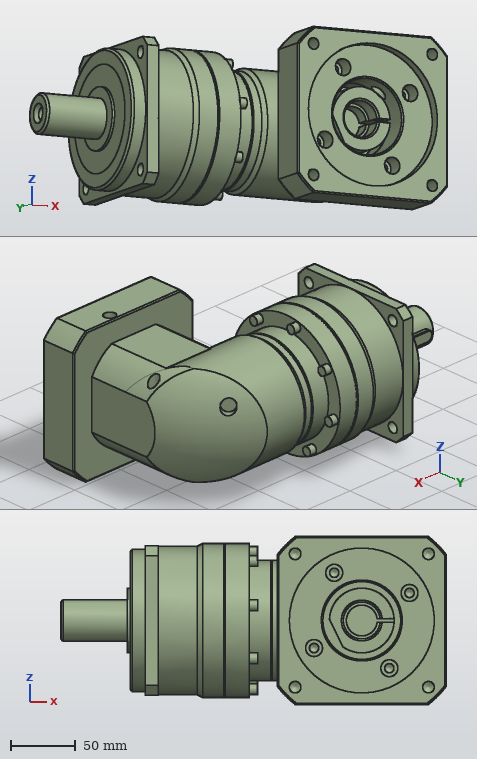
import cadquery as cq
import math


LENGTH = 297.0
COLLAR_X = 51.5
PILOT_X = 53.5
FLANGE_X = 65.0
FLANGE_THICKNESS = 10.0
TAPER_X = 105.2
RING_STEP_X = 109.3
RING_X = 125.7
RING_END_X = 145.3
ELBOW_X = 163.0
ELBOW_TAPER_X = 170.0
ELBOW_FULL_X = 173.8

SHAFT_R = 16.0
SHAFT_CHAMFER = 1.8
COLLAR_R = 25.0
SHAFT_END_X = 74.3
CENTRE_HOLE_R = 4.8
CENTRE_SINK_R = 7.7
CENTRE_HOLE_DEPTH = 26.7
KEY_X = 5.3
KEY_LENGTH = 40.0
KEY_WIDTH = 10.0
KEY_HEIGHT = 8.0
KEY_TOP_Y = 19.0
KEY_CHAMFER = 0.5

SEAL_R = 42.5
PILOT_R = 55.0
PILOT_CHAMFER = 1.8
FLANGE_HALF = 57.5
FLANGE_CHAMFER = 7.7
FLANGE_HOLE_R = 4.8
FLANGE_HOLE_OFFSET = 46.0
HOUSING_R = 57.3
RING_R = 59.5
NECK_R = 46.5
GROOVE_WIDTH = 1.2
GROOVE_DEPTH = 1.0
SCREW_COUNT = 8
SCREW_R = 4.2
SCREW_HEIGHT = 6.5
SCREW_CIRCLE_R = 54.5
SCREW_START_ANGLE = 12.5

PLATE_SIDE = 130.0
PLATE_THICKNESS = 34.0
PLATE_CORNER_R = 82.5
PLATE_EDGE_CHAMFER = 1.2
INPUT_X = LENGTH - PLATE_SIDE / 2
PLATE_FRONT_Y = RING_R - 172.5
PLATE_BACK_Y = PLATE_FRONT_Y + PLATE_THICKNESS
MOTOR_PILOT_R = 56.0
MOTOR_PILOT_DEPTH = 9.0
PILOT_FLOOR_Y = PLATE_FRONT_Y + MOTOR_PILOT_DEPTH
BORE_R = 30.0
BORE_CHAMFER = 1.2
CORNER_HOLE_R = 4.5
CORNER_HOLE_OFFSET = 51.5
CORNER_HOLE_DEPTH = 17.8
MOUNT_CIRCLE_R = 42.5
MOUNT_SINK_R = 6.5
MOUNT_SINK_DEPTH = 15.0
MOUNT_HOLE_R = 3.5
MOUNT_HOLE_DEPTH = 32.7
MOUNT_START_ANGLE = 30.0
ACCESS_HOLE_R = 5.3

HUB_R = 25.0
HUB_FACE_DEPTH = 10.7
HUB_LENGTH = 32.7
HUB_FACE_Y = PILOT_FLOOR_Y + HUB_FACE_DEPTH
HUB_END_Y = HUB_FACE_Y + HUB_LENGTH
HUB_MOUTH_R = 15.7
HUB_BORE_R = 14.3
HUB_BORE_STEP_R = 12.0
HUB_STEP_DEPTH = 15.0
HUB_BORE_DEPTH = 26.7
HUB_SLIT_WIDTH = 3.0
HUB_FLAT_ANGLE = 206.0
HUB_FLAT_DISTANCE = 22.0
CLAMP_X = INPUT_X + 18.5
CLAMP_Y = -86.8
CLAMP_SCREW_R = 3.5

ELBOW_R = 49.0
LEG_R = 51.0
LEG_HALF = 45.2
LEG_SHOULDER_Y = -19.5
DOME_APEX = 30.5
DOME_SPINE_R = 133.7
DOME_PROFILE_R = 72.8
SIDE_HOLE_R = 4.8
SIDE_HOLE_X = INPUT_X + 34.8
SIDE_HOLE_Y = -22.0
SIDE_HOLE_FLOOR_Z = 26.7
DOME_HOLE_R = 6.5
DOME_HOLE_FLOOR = 20.8
DOME_HOLE_SIDE = 17.5
DOME_HOLE_Z = 23.2

DRILL_TIP_RATIO = 0.6


def x_cylinder(x_start, x_end, radius):
    """Cylinder on the output axis."""
    return cq.Workplane("YZ").workplane(offset=x_start).circle(radius).extrude(x_end - x_start)


def x_revolve(profile):
    """Solid of revolution about the output axis from (x, radius) points."""
    points = [(profile[0][0], 0)] + profile + [(profile[-1][0], 0)]
    return cq.Workplane("XY").polyline(points).close().revolve(360, (0, 0, 0), (1, 0, 0))


def input_plane(y):
    """Plane square to the input axis, drawn in X and Z from that axis, extruding toward +Y."""
    return cq.Workplane(cq.Plane((INPUT_X, y, 0), xDir=(-1, 0, 0), normal=(0, 1, 0)))


def y_cylinder(y_start, y_end, radius, dx=0.0, dz=0.0):
    """Cylinder parallel to the input axis, placed dx and dz from it."""
    return input_plane(y_start).center(-dx, dz).circle(radius).extrude(y_end - y_start)


def y_drill(y_start, depth, radius, dx, dz):
    """Drilled hole with a conical tip, going toward +Y."""
    tip = depth + DRILL_TIP_RATIO * radius
    profile = [(0, 0), (radius, 0), (radius, depth), (0, tip)]
    drill = cq.Workplane("XY").polyline(profile).close().revolve(360, (0, 0, 0), (0, 1, 0))
    return drill.translate((INPUT_X + dx, y_start, dz))


def y_cone(y_start, start_radius, end_radius):
    """45 degree cone on the input axis, for chamfering a bore mouth that faces -Y."""
    depth = start_radius - end_radius
    cone = cq.Solid.makeCone(start_radius, end_radius, depth, (INPUT_X, y_start, 0), (0, 1, 0))
    return cq.Workplane(cone)


def make_key():
    blank = (
        cq.Workplane("XZ", origin=(KEY_X + KEY_LENGTH / 2, KEY_TOP_Y, 0))
        .slot2D(KEY_LENGTH, KEY_WIDTH)
        .extrude(KEY_HEIGHT)
    )
    return blank.faces(">Y").chamfer(KEY_CHAMFER)


def make_shaft(key):
    shaft = x_cylinder(0, COLLAR_X, SHAFT_R).faces("<X").chamfer(SHAFT_CHAMFER)
    shaft = shaft.union(x_cylinder(COLLAR_X, SHAFT_END_X, COLLAR_R))
    centre_profile = [
        (0, 0),
        (0, CENTRE_SINK_R),
        (CENTRE_SINK_R - CENTRE_HOLE_R, CENTRE_HOLE_R),
        (CENTRE_HOLE_DEPTH, CENTRE_HOLE_R),
        (CENTRE_HOLE_DEPTH + DRILL_TIP_RATIO * CENTRE_HOLE_R, 0),
    ]
    centre_hole = cq.Workplane("XY").polyline(centre_profile).close().revolve(360, (0, 0, 0), (1, 0, 0))
    return shaft.cut(centre_hole).cut(key)


def make_seal():
    return x_cylinder(PILOT_X, FLANGE_X, SEAL_R).cut(x_cylinder(PILOT_X, FLANGE_X, COLLAR_R))


def make_housing():
    body = x_revolve(
        [
            (PILOT_X, PILOT_R - PILOT_CHAMFER),
            (PILOT_X + PILOT_CHAMFER, PILOT_R),
            (FLANGE_X, PILOT_R),
            (FLANGE_X, HOUSING_R),
            (TAPER_X, HOUSING_R),
            (RING_STEP_X, RING_R),
            (RING_X, RING_R),
        ]
    )
    flange = (
        cq.Workplane("YZ")
        .workplane(offset=FLANGE_X)
        .rect(2 * FLANGE_HALF, 2 * FLANGE_HALF)
        .extrude(FLANGE_THICKNESS)
        .edges("|X")
        .chamfer(FLANGE_CHAMFER)
    )
    holes = (
        cq.Workplane("YZ")
        .workplane(offset=FLANGE_X)
        .rect(2 * FLANGE_HOLE_OFFSET, 2 * FLANGE_HOLE_OFFSET, forConstruction=True)
        .vertices()
        .circle(FLANGE_HOLE_R)
        .extrude(FLANGE_THICKNESS)
    )
    seal_seat = x_cylinder(PILOT_X, FLANGE_X, SEAL_R)
    shaft_seat = x_cylinder(FLANGE_X, SHAFT_END_X, COLLAR_R)
    return body.union(flange).cut(holes).cut(seal_seat).cut(shaft_seat)


def make_ring():
    """Gear ring with its rear neck and screw heads, grooved at both joints."""
    ring = x_revolve(
        [
            (RING_X, RING_R - GROOVE_DEPTH),
            (RING_X + GROOVE_WIDTH, RING_R - GROOVE_DEPTH),
            (RING_X + GROOVE_WIDTH, RING_R),
            (RING_END_X, RING_R),
            (RING_END_X, NECK_R),
            (ELBOW_X - GROOVE_WIDTH, NECK_R),
            (ELBOW_X - GROOVE_WIDTH, NECK_R - GROOVE_DEPTH),
            (ELBOW_X, NECK_R - GROOVE_DEPTH),
        ]
    )
    head = x_cylinder(RING_END_X, RING_END_X + SCREW_HEIGHT, SCREW_R).translate((0, -SCREW_CIRCLE_R, 0))
    for i in range(SCREW_COUNT):
        angle = SCREW_START_ANGLE + i * 360 / SCREW_COUNT
        ring = ring.union(head.rotate((0, 0, 0), (1, 0, 0), -angle))
    return ring


def mount_points():
    """Offsets from the input axis of the four screws that hold the adapter to the elbow."""
    angles = [math.radians(MOUNT_START_ANGLE + 90 * i) for i in range(4)]
    return [(MOUNT_CIRCLE_R * math.cos(a), MOUNT_CIRCLE_R * math.sin(a)) for a in angles]


def mount_holes():
    """Counterbored screw holes that run through the adapter into the elbow."""
    holes = cq.Workplane("XY")
    for dx, dz in mount_points():
        sink = y_cylinder(PILOT_FLOOR_Y, PILOT_FLOOR_Y + MOUNT_SINK_DEPTH, MOUNT_SINK_R, dx, dz)
        drill = y_drill(PILOT_FLOOR_Y, MOUNT_HOLE_DEPTH, MOUNT_HOLE_R, dx, dz)
        holes = holes.add(sink.union(drill))
    return holes.combine()


def hub_cavity():
    """Round cavity around the clamp hub, shared by the adapter and the elbow."""
    return y_cylinder(PILOT_FLOOR_Y, HUB_END_Y, BORE_R)


def dome_envelope():
    """Barrel whose outer face is the rounded back of the elbow, swept about a vertical axis."""
    ring_r = DOME_SPINE_R - DOME_PROFILE_R
    barrel = (
        cq.Workplane("XZ")
        .moveTo(0, -DOME_PROFILE_R)
        .lineTo(ring_r, -DOME_PROFILE_R)
        .threePointArc((DOME_SPINE_R, 0), (ring_r, DOME_PROFILE_R))
        .lineTo(0, DOME_PROFILE_R)
        .close()
        .revolve(360, (0, 0, 0), (0, 1, 0))
    )
    shift = (DOME_APEX - DOME_SPINE_R) * math.sqrt(0.5)
    return barrel.translate((INPUT_X + shift, shift, 0))


def dome_hole():
    """Shallow round recess in the back of the elbow, square to the 45 degree diagonal."""
    along = math.sqrt(0.5)
    centre = (
        INPUT_X + along * (DOME_HOLE_FLOOR - DOME_HOLE_SIDE),
        along * (DOME_HOLE_FLOOR + DOME_HOLE_SIDE),
        DOME_HOLE_Z,
    )
    plane = cq.Plane(centre, xDir=(0, 0, 1), normal=(1, 1, 0))
    return cq.Workplane(plane).circle(DOME_HOLE_R).extrude(DOME_APEX)


def make_elbow():
    arm = x_revolve(
        [
            (ELBOW_X, NECK_R),
            (ELBOW_TAPER_X, NECK_R),
            (ELBOW_FULL_X, ELBOW_R),
            (INPUT_X, ELBOW_R),
        ]
    )
    leg_square = input_plane(PLATE_BACK_Y).rect(2 * LEG_HALF, 2 * LEG_HALF)
    leg = leg_square.extrude(LEG_SHOULDER_Y - PLATE_BACK_Y)
    leg = leg.intersect(y_cylinder(PLATE_BACK_Y, LEG_SHOULDER_Y, LEG_R))
    back = x_cylinder(INPUT_X, INPUT_X + LEG_HALF, ELBOW_R)
    back = back.intersect(y_cylinder(-LEG_R, LEG_R, LEG_R))
    elbow = arm.union(leg).union(back).clean().intersect(dome_envelope())
    side_hole = (
        cq.Workplane("XY", origin=(SIDE_HOLE_X, SIDE_HOLE_Y, SIDE_HOLE_FLOOR_Z))
        .circle(SIDE_HOLE_R)
        .extrude(LEG_R)
    )
    return elbow.cut(hub_cavity()).cut(mount_holes()).cut(side_hole).cut(dome_hole())


def make_plate():
    plate = input_plane(PLATE_FRONT_Y).rect(PLATE_SIDE, PLATE_SIDE).extrude(PLATE_THICKNESS)
    plate = plate.intersect(y_cylinder(PLATE_FRONT_Y, PLATE_BACK_Y, PLATE_CORNER_R))
    plate = plate.faces("<Y or >Y").chamfer(PLATE_EDGE_CHAMFER)
    plate = plate.cut(y_cylinder(PLATE_FRONT_Y, PILOT_FLOOR_Y, MOTOR_PILOT_R))
    plate = plate.cut(hub_cavity()).cut(y_cone(PILOT_FLOOR_Y, BORE_R + BORE_CHAMFER, BORE_R))
    for side_x in (-1, 1):
        for side_z in (-1, 1):
            dx = side_x * CORNER_HOLE_OFFSET
            dz = side_z * CORNER_HOLE_OFFSET
            plate = plate.cut(y_drill(PLATE_FRONT_Y, CORNER_HOLE_DEPTH, CORNER_HOLE_R, dx, dz))
    access = cq.Workplane("XY", origin=(CLAMP_X, CLAMP_Y, 0)).circle(ACCESS_HOLE_R).extrude(PLATE_SIDE)
    return plate.cut(mount_holes()).cut(access)


def make_hub():
    """Split clamp hub with a balance flat, a stepped bore and a cross hole for its clamp screw."""
    hub = y_cylinder(HUB_FACE_Y, HUB_END_Y, HUB_R)
    flat = cq.Workplane("XY").box(HUB_R, 2 * HUB_LENGTH, 2 * HUB_R)
    flat = flat.translate((HUB_FLAT_DISTANCE + HUB_R / 2, 0, 0))
    flat = flat.rotate((0, 0, 0), (0, 1, 0), -HUB_FLAT_ANGLE).translate((INPUT_X, HUB_FACE_Y, 0))
    bore = y_cylinder(HUB_FACE_Y, HUB_FACE_Y + HUB_BORE_DEPTH, HUB_BORE_STEP_R)
    bore = bore.union(y_cylinder(HUB_FACE_Y, HUB_FACE_Y + HUB_STEP_DEPTH, HUB_BORE_R))
    mouth = y_cone(HUB_FACE_Y, HUB_MOUTH_R, HUB_BORE_R)
    slit = cq.Workplane("XY").box(HUB_R, HUB_BORE_DEPTH, HUB_SLIT_WIDTH)
    slit = slit.translate((INPUT_X + HUB_R / 2, HUB_FACE_Y + HUB_BORE_DEPTH / 2, 0))
    clamp_hole = cq.Workplane("XY", origin=(CLAMP_X, CLAMP_Y, 0)).circle(CLAMP_SCREW_R).extrude(HUB_R)
    return hub.cut(flat).cut(bore).cut(mouth).cut(slit).cut(clamp_hole)


key = make_key()
shaft = make_shaft(key)
seal = make_seal()
housing = make_housing()
ring = make_ring()
elbow = make_elbow()
plate = make_plate()
hub = make_hub()

bodies = [shaft, key, seal, housing, ring, elbow, plate, hub]
result = cq.Compound.makeCompound([body.val() for body in bodies])